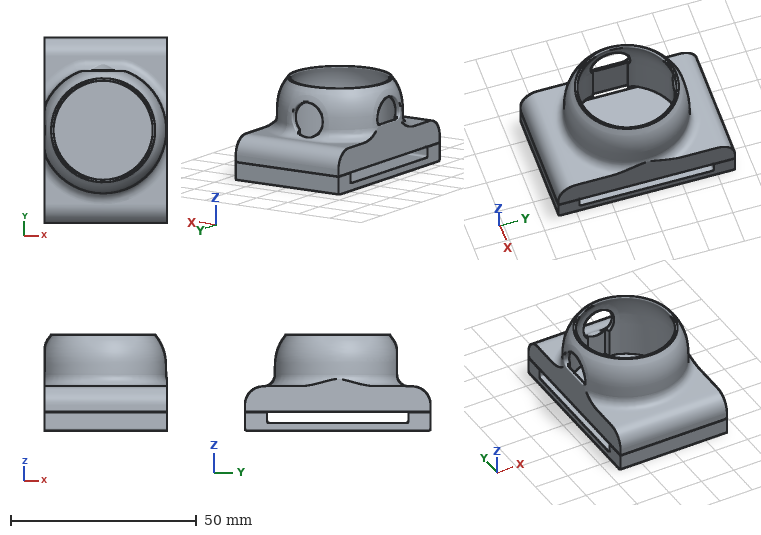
import cadquery as cq
import math

length_x = 33.0
width_y = 50.0
total_height = 25.85
base_height = 5.0
body_gap = 0.1
plate_top = 12.0
edge_radius = 5.0

slot_width = 38.0
slot_floor = 2.1
base_corner_radius = 0.6

barrel_x = -0.7
barrel_radius = 17.0
barrel_top_radius = 14.0
taper_z = 15.35
shoulder_z = 18.55
shoulder_inset = 0.1
barrel_blend_radius = 5.0
foot_radius = 3.0
back_flat = 16.0

wall = 1.5
cavity_blend_radius = 4.5
mouth_radius = 13.1
mouth_rounding = 0.3

window_rim_radius = 0.3
side_window_z = 16.75
side_window_radius = 5.6
side_window_sill_z = 15.3
side_window_corner_radius = 1.75
side_rim_depth = 1.5
back_window_z = 17.05
back_window_radius = 4.75

back_pocket_mouth = 6.8
back_pocket_floor = 5.8
back_pocket_reach = 16.15
side_pocket_width = 10.0
side_pocket_reach = 15.0

housing_bottom = base_height + body_gap
plate_height = plate_top - housing_bottom
side_flat = length_x / 2 + barrel_x
cavity_back_flat = back_flat - wall
window_depth = 3 * wall
cavity_side_flat = side_flat - wall


def domed_cylinder(radius, top_radius, side_distance, back_distance, blend_radius):
    """Cylinder with a curved shoulder, two flats and blended flat edges, centred on the Z axis."""
    profile = (
        cq.Workplane("XZ")
        .moveTo(0, housing_bottom)
        .lineTo(radius, housing_bottom)
        .lineTo(radius, taper_z)
        .tangentArcPoint((radius - shoulder_inset, shoulder_z), relative=False)
        .tangentArcPoint((top_radius, total_height), relative=False)
        .lineTo(0, total_height)
        .close()
    )
    solid = profile.revolve(360, (0, 0, 0), (0, 1, 0))
    kept_size = 4 * radius
    kept = cq.Workplane("XY").box(kept_size, kept_size, kept_size, centered=(False, True, True))
    solid = solid.intersect(kept.translate((-side_distance, back_distance - kept_size / 2, 0)))
    side_edges = solid.faces("<X").edges("not(<Z)")
    back_edges = solid.faces(">Y").edges("not(<Z)")
    return side_edges.add(back_edges).fillet(blend_radius)


def make_shell():
    """Plate and barrel, joined by the foot fillet and trimmed to the outline of the block."""
    barrel = domed_cylinder(
        barrel_radius, barrel_top_radius, side_flat, back_flat, barrel_blend_radius
    ).translate((barrel_x, 0, 0))
    plate = (
        cq.Workplane("XY", origin=(0, 0, housing_bottom))
        .rect(2 * width_y, 2 * width_y)
        .extrude(plate_height)
    )
    shell = plate.union(barrel)
    around_barrel = 2 * barrel_radius
    zone_margin = foot_radius / 2
    foot_zone = cq.selectors.BoxSelector(
        (-around_barrel, -around_barrel, plate_top - zone_margin),
        (around_barrel, around_barrel, plate_top + zone_margin),
        boundingbox=True,
    )
    shell = shell.edges(foot_zone).fillet(foot_radius)

    half_width = width_y / 2
    flat_half_width = half_width - edge_radius
    side_end_z = plate_top - edge_radius
    arc_offset = edge_radius * math.sqrt(0.5)
    outline = (
        cq.Workplane("YZ", origin=(-length_x / 2, 0, 0))
        .moveTo(-half_width, housing_bottom)
        .lineTo(half_width, housing_bottom)
        .lineTo(half_width, side_end_z)
        .threePointArc(
            (flat_half_width + arc_offset, side_end_z + arc_offset), (flat_half_width, plate_top)
        )
        .lineTo(flat_half_width, total_height)
        .lineTo(-flat_half_width, total_height)
        .lineTo(-flat_half_width, plate_top)
        .threePointArc(
            (-flat_half_width - arc_offset, side_end_z + arc_offset), (-half_width, side_end_z)
        )
        .close()
        .extrude(length_x)
    )
    return shell.intersect(outline)


def make_cavity():
    return domed_cylinder(
        barrel_radius - wall,
        mouth_radius,
        cavity_side_flat,
        cavity_back_flat,
        cavity_blend_radius,
    ).translate((barrel_x, 0, 0))


def make_side_window():
    """Round window with a flat sill and rounded lower corners."""
    window = (
        cq.Workplane("YZ", origin=(-length_x / 2, 0, side_window_z))
        .circle(side_window_radius)
        .extrude(window_depth)
    )
    above_sill = (
        cq.Workplane("XY", origin=(-length_x / 2, 0, side_window_sill_z))
        .rect(2 * window_depth, 2 * side_window_radius)
        .extrude(2 * side_window_radius)
    )
    return window.intersect(above_sill).faces("<Z").edges("|X").fillet(side_window_corner_radius)


def make_back_window():
    return (
        cq.Workplane("XZ", origin=(barrel_x, back_flat + foot_radius, back_window_z))
        .circle(back_window_radius)
        .extrude(foot_radius + window_depth)
    )


def make_pocket(mouth_width, floor_width, mouth_distance, floor_distance):
    """Upright pocket on the +Y side of the barrel, open to the cavity and to the window above it."""
    return (
        cq.Workplane("XY", origin=(0, 0, housing_bottom))
        .moveTo(-mouth_width / 2, mouth_distance - wall)
        .lineTo(-mouth_width / 2, mouth_distance)
        .lineTo(-floor_width / 2, floor_distance)
        .lineTo(floor_width / 2, floor_distance)
        .lineTo(mouth_width / 2, mouth_distance)
        .lineTo(mouth_width / 2, mouth_distance - wall)
        .close()
        .extrude(side_window_z - housing_bottom)
    )


def round_rim(shell, low_corner, high_corner):
    """Round the window edges that lie wholly between two corners."""
    rim = cq.selectors.BoxSelector(low_corner, high_corner, boundingbox=True)
    return shell.edges(rim).fillet(window_rim_radius)


def make_windowed_shell():
    """Shell with both windows and their rounded rims, still solid inside."""
    rim_margin = 2 * window_rim_radius
    shell = make_shell()

    shell = shell.cut(make_side_window())
    side_reach = side_window_radius + rim_margin
    shell = round_rim(
        shell,
        (-length_x / 2 - rim_margin, -side_reach, side_window_sill_z - window_rim_radius),
        (-length_x / 2 + side_rim_depth, side_reach, side_window_z + side_reach),
    )

    shell = shell.cut(make_back_window())
    back_reach = back_window_radius + rim_margin
    return round_rim(
        shell,
        (barrel_x - back_reach, back_flat - rim_margin, back_window_z - back_reach),
        (barrel_x + back_reach, back_flat + foot_radius, back_window_z + back_reach),
    )


def make_housing():
    housing = make_windowed_shell().cut(make_cavity())
    mouth_edge = cq.selectors.RadiusNthSelector(0)
    housing = housing.faces(">Z").edges(mouth_edge).fillet(mouth_rounding)

    back_pocket = make_pocket(
        back_pocket_mouth, back_pocket_floor, cavity_back_flat, back_pocket_reach
    )
    side_pocket = make_pocket(
        side_pocket_width, side_pocket_width, cavity_side_flat, side_pocket_reach
    ).rotate((0, 0, 0), (0, 0, 1), 90)
    for pocket in (back_pocket, side_pocket):
        housing = housing.cut(pocket.translate((barrel_x, 0, 0)))
    return housing


def make_base():
    base = cq.Workplane("XY").box(length_x, width_y, base_height, centered=(True, True, False))
    base = base.faces("<Z").edges("|X").fillet(base_corner_radius)
    slot = (
        cq.Workplane("XY", origin=(0, 0, slot_floor))
        .rect(length_x, slot_width)
        .extrude(base_height - slot_floor)
        .faces("<Z")
        .edges("|X")
        .fillet(base_corner_radius)
    )
    return base.cut(slot)


housing = make_housing()
base = make_base()
result = cq.Compound.makeCompound([housing.solids().val(), base.val()])